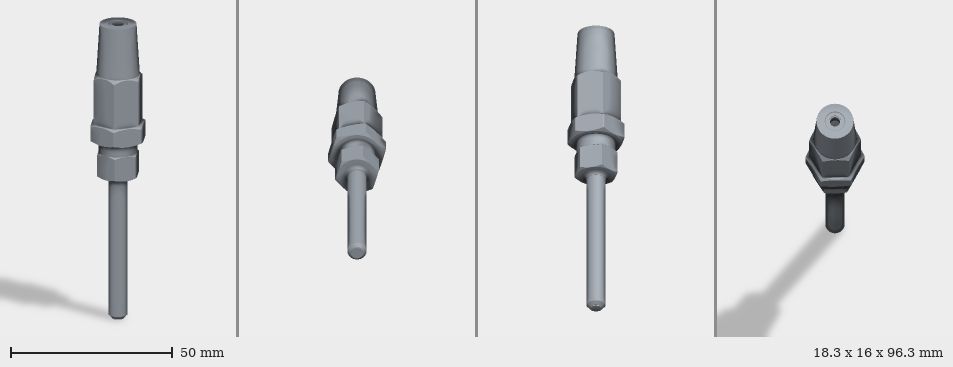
import cadquery as cq
import math

LENGTH = 96.35

LOWER_NUT_BOTTOM = 46.5
LOWER_NUT_TOP = 54.5
LOCK_NUT_BOTTOM = 58.2
LOCK_NUT_TOP = 64.4
BODY_TOP = 80.1

LOWER_NUT_FLATS = 12.0
LOWER_NUT_FACE = 11.9
LOCK_NUT_FLATS = 16.0
LOCK_NUT_FACE = 15.6
LOCK_NUT_CORNER_RADIUS = 0.5
BODY_FLATS = 14.0
BODY_FACE = 13.7
NUT_CHAMFER_ANGLE = 30.0
BODY_CHAMFER_ANGLE = 45.0

NECK_DIAMETER = 12.0

SLEEVE_TOP_DIAMETER = 11.5
SLEEVE_BOTTOM_DIAMETER = 13.5
SLEEVE_COUNTERSINK = 0.2

TUBE_DIAMETER = 6.0
TUBE_BORE = 3.8
TUBE_TIP_CHAMFER = 1.0
CORE_OVERHANG = 0.3
CORE_RECESS = 0.4
CORE_BORE = 3.1
CORE_BORE_DEPTH = 2.9
CORE_SLOT_LENGTH = 1.7
CORE_SLOT_WIDTH = 0.3
CORE_SLOT_DEPTH = 0.5

COLLAR_HEIGHT = 1.2
COLLAR_LIP = 0.1
COLLAR_FLARE_RADIUS = COLLAR_HEIGHT


def cylinder(diameter, bottom, top):
    return cq.Workplane("XY").workplane(offset=bottom).circle(diameter / 2).extrude(top - bottom)


def revolved(points):
    """Solid of revolution about Z from a closed outline of (radius, height) points."""
    return cq.Workplane("XZ").polyline(points).close().revolve(360, (0, 0), (0, 1))


def bored(body, bottom, top):
    """Cut the passage for the tube through a body."""
    return body.cut(cylinder(TUBE_DIAMETER, bottom, top))


def hexagon(flats, bottom, top, face, angle, both_ends, corner_radius=0):
    """Hexagonal prism with corners on the X axis, its ends turned down to a round face."""
    across_corners = flats / math.cos(math.pi / 6)
    prism = cq.Workplane("XY").workplane(offset=bottom).polygon(6, across_corners).extrude(top - bottom)
    if corner_radius:
        prism = prism.edges("|Z").fillet(corner_radius)
    outer = across_corners / 2
    drop = (outer - face / 2) * math.tan(math.radians(angle))
    outline = [(0, top), (face / 2, top), (outer, top - drop)]
    if both_ends:
        outline += [(outer, bottom + drop), (face / 2, bottom), (0, bottom)]
    else:
        outline += [(outer, bottom), (0, bottom)]
    return prism.intersect(revolved(outline))


def make_sleeve():
    outline = [
        (0, BODY_TOP),
        (SLEEVE_BOTTOM_DIAMETER / 2, BODY_TOP),
        (SLEEVE_TOP_DIAMETER / 2, LENGTH),
        (0, LENGTH),
    ]
    sleeve = bored(revolved(outline), BODY_TOP, LENGTH)
    bore_rim = sleeve.faces(">Z").edges(cq.selectors.RadiusNthSelector(0))
    return bore_rim.chamfer(SLEEVE_COUNTERSINK)


def make_upper_body():
    body = hexagon(BODY_FLATS, LOCK_NUT_TOP, BODY_TOP, BODY_FACE, BODY_CHAMFER_ANGLE, both_ends=False)
    return bored(body, LOCK_NUT_TOP, BODY_TOP)


def make_lock_nut():
    nut = hexagon(
        LOCK_NUT_FLATS,
        LOCK_NUT_BOTTOM,
        LOCK_NUT_TOP,
        LOCK_NUT_FACE,
        NUT_CHAMFER_ANGLE,
        both_ends=True,
        corner_radius=LOCK_NUT_CORNER_RADIUS,
    )
    return bored(nut, LOCK_NUT_BOTTOM, LOCK_NUT_TOP)


def make_neck():
    neck = cylinder(NECK_DIAMETER, LOWER_NUT_TOP, LOCK_NUT_BOTTOM)
    return bored(neck, LOWER_NUT_TOP, LOCK_NUT_BOTTOM)


def make_lower_nut():
    nut = hexagon(
        LOWER_NUT_FLATS, LOWER_NUT_BOTTOM, LOWER_NUT_TOP, LOWER_NUT_FACE, NUT_CHAMFER_ANGLE, both_ends=True
    )
    return bored(nut, LOWER_NUT_BOTTOM, LOWER_NUT_TOP)


def make_collar():
    inner = TUBE_DIAMETER / 2
    lip = inner + COLLAR_LIP
    bottom = LOWER_NUT_BOTTOM - COLLAR_HEIGHT
    diagonal = COLLAR_FLARE_RADIUS * math.sqrt(0.5)
    flare_middle = (lip + COLLAR_FLARE_RADIUS - diagonal, bottom + diagonal)
    flare_end = (lip + COLLAR_FLARE_RADIUS, LOWER_NUT_BOTTOM)
    return (
        cq.Workplane("XZ")
        .moveTo(inner, bottom)
        .lineTo(lip, bottom)
        .threePointArc(flare_middle, flare_end)
        .lineTo(inner, LOWER_NUT_BOTTOM)
        .close()
        .revolve(360, (0, 0), (0, 1))
    )


def make_tube():
    top = LENGTH - SLEEVE_COUNTERSINK
    tube = cylinder(TUBE_DIAMETER, CORE_OVERHANG, top).faces("<Z").chamfer(TUBE_TIP_CHAMFER)
    return tube.cut(cylinder(TUBE_BORE, CORE_OVERHANG, top))


def make_core():
    top = LENGTH - SLEEVE_COUNTERSINK - CORE_RECESS
    floor = top - CORE_BORE_DEPTH
    core = cylinder(TUBE_BORE, 0, top).cut(cylinder(CORE_BORE, floor, top))
    slot = (
        cq.Workplane("XY")
        .workplane(offset=floor - CORE_SLOT_DEPTH)
        .rect(CORE_SLOT_LENGTH, CORE_SLOT_WIDTH)
        .extrude(CORE_SLOT_DEPTH)
    )
    return core.cut(slot)


sleeve = make_sleeve()
upper_body = make_upper_body()
lock_nut = make_lock_nut()
neck = make_neck()
lower_nut = make_lower_nut()
collar = make_collar()
tube = make_tube()
core = make_core()

result = cq.Compound.makeCompound(
    [
        sleeve.val(),
        upper_body.val(),
        lock_nut.val(),
        neck.val(),
        lower_nut.val(),
        collar.val(),
        tube.val(),
        core.val(),
    ]
)